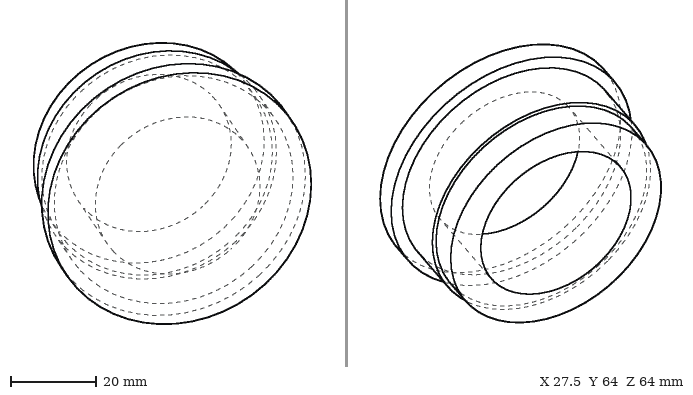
import cadquery as cq

flange_diameter = 64.0
body_diameter = 58.0
nose_diameter = 56.0
bore_diameter = 40.0

nose_length = 7.2
body_length = 14.8
flange_length = 5.5
floor_thickness = 2.0

total_length = nose_length + body_length + flange_length
bore_depth = total_length - floor_thickness


def cylinder_along_x(start, length, diameter):
    """Solid cylinder on the X axis, growing toward +X from start."""
    return cq.Workplane("YZ", origin=(start, 0, 0)).circle(diameter / 2).extrude(length)


nose = cylinder_along_x(0, nose_length, nose_diameter)
body = cylinder_along_x(nose_length, body_length, body_diameter)
flange = cylinder_along_x(nose_length + body_length, flange_length, flange_diameter)

bore = cylinder_along_x(0, bore_depth, bore_diameter)

result = nose.union(body).union(flange).cut(bore)